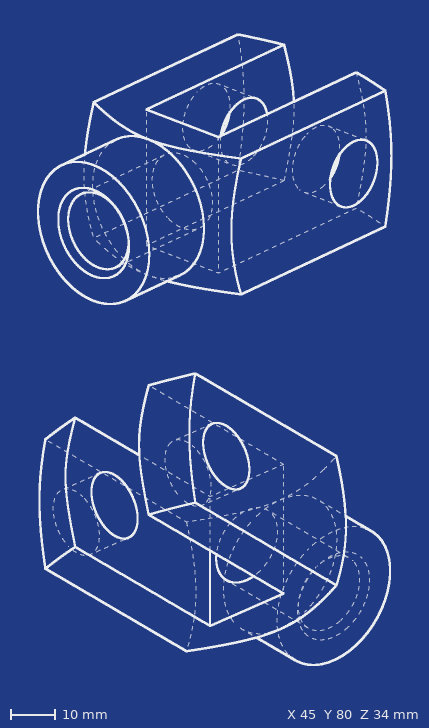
import cadquery as cq
import math

total_length = 80.0
body_width = 45.0
body_height = 34.0
shank_diameter = body_height
shank_length = 18.5

slot_width = 22.0
slot_floor = 30.0

pin_diameter = 16.0
pin_position = 63.0

bore_diameter = 18.4
bore_chamfer = 1.6

shoulder_angle = 30.0
tip_angle = 20.0

shank_radius = shank_diameter / 2
tip_radius = slot_width / 2
corner_radius = math.hypot(body_width / 2, body_height / 2)
shoulder_rise = (corner_radius - shank_radius) * math.tan(math.radians(shoulder_angle))
tip_drop = (corner_radius - tip_radius) * math.tan(math.radians(tip_angle))


def turned_envelope():
    """Shank, conical shoulder and conical fork tips, revolved about Y."""
    return (
        cq.Workplane("XY")
        .moveTo(0, 0)
        .lineTo(shank_radius, 0)
        .lineTo(shank_radius, shank_length)
        .lineTo(corner_radius, shank_length + shoulder_rise)
        .lineTo(corner_radius, total_length - tip_drop)
        .lineTo(tip_radius, total_length)
        .lineTo(0, total_length)
        .close()
        .revolve(360, (0, 0, 0), (0, 1, 0))
    )


def rectangular_bar():
    return cq.Workplane("XY").box(
        body_width, total_length, body_height, centered=(True, False, True)
    )


def fork_slot():
    return (
        cq.Workplane("XY")
        .box(slot_width, total_length - slot_floor, body_height, centered=(True, False, True))
        .translate((0, slot_floor, 0))
    )


def pin_hole():
    """Cross hole through both fork arms."""
    return (
        cq.Workplane("YZ")
        .center(pin_position, 0)
        .circle(pin_diameter / 2)
        .extrude(body_width / 2, both=True)
    )


def shank_bore():
    """Bore from the shank face into the slot, with a chamfered mouth."""
    bore_radius = bore_diameter / 2
    return (
        cq.Workplane("XY")
        .moveTo(0, 0)
        .lineTo(bore_radius + bore_chamfer, 0)
        .lineTo(bore_radius, bore_chamfer)
        .lineTo(bore_radius, slot_floor)
        .lineTo(0, slot_floor)
        .close()
        .revolve(360, (0, 0, 0), (0, 1, 0))
    )


body = rectangular_bar().intersect(turned_envelope())
result = body.cut(fork_slot()).cut(pin_hole()).cut(shank_bore())